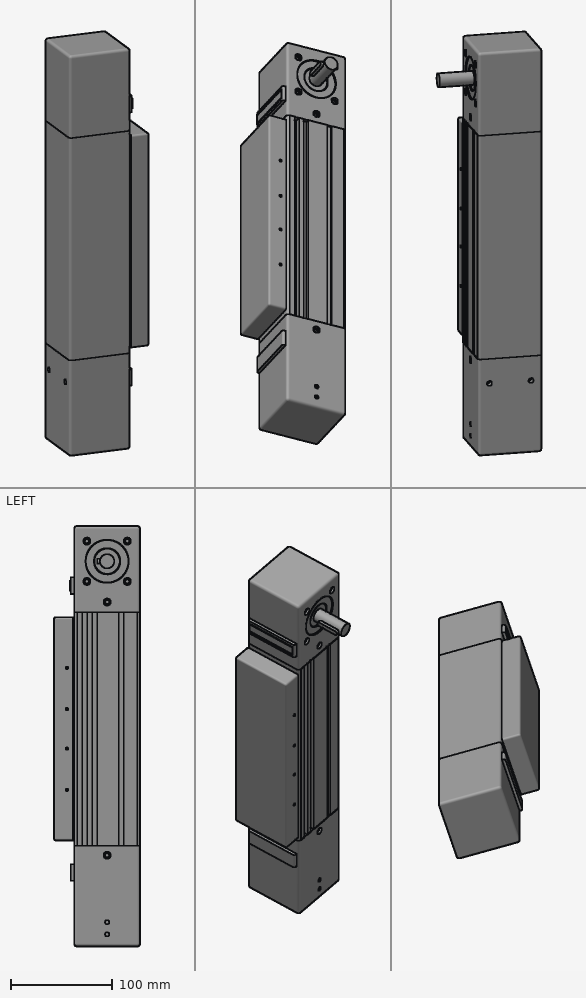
import cadquery as cq
WIDTH = 64.7
DEPTH = 65.0
FACE_X = -WIDTH / 2
FRONT_Y = -DEPTH / 2
BACK_Y = DEPTH / 2
EDGE_RADIUS = 3.0
TOTAL_HEIGHT = 415.0
END_BLOCK_HEIGHT = 99.5
DRIVE_HEAD_HEIGHT = 85.0
HEAD_BASE_Z = TOTAL_HEIGHT - DRIVE_HEAD_HEIGHT
PROFILE_LENGTH = HEAD_BASE_Z - END_BLOCK_HEIGHT
PROFILE_MID_Z = END_BLOCK_HEIGHT + PROFILE_LENGTH / 2

FACE_RAISE = 0.5
GROOVE_WIDTH = 5.0
GROOVES = [(22.0, 6.2), (12.0, 4.0), (-14.0, 2.5)]

CARRIAGE_CLEARANCE = 1.0
CARRIAGE_THICKNESS = 19.0
CARRIAGE_END_GAP = 5.0
CARRIAGE_LENGTH = PROFILE_LENGTH - 2 * CARRIAGE_END_GAP
CARRIAGE_RADIUS = 2.0
CARRIAGE_HOLE_DIAMETER = 2.45
CARRIAGE_HOLE_DEPTH = 4.0
CARRIAGE_HOLE_Y = BACK_Y + 7.0
CARRIAGE_HOLE_OFFSETS = (19.5, 60.0)

SHAFT_Z = TOTAL_HEIGHT - 35.0
SHAFT_DIAMETER = 14.0
SHAFT_PROJECTION = 32.8
KEY_WIDTH = 5.0
KEY_LENGTH = 25.0
KEY_RISE = 3.0
KEY_END_GAP = 3.0

PILOT_DIAMETER = 42.0
PILOT_DEPTH = 1.2
PILOT_CHAMFER = 0.5
BORE_DIAMETER = 25.0
BORE_DEPTH = 1.0
BORE_CHAMFER = 0.62

MOUNT_SPACING = 40.0
MOUNT_DIAMETER = 4.0
MOUNT_COUNTERBORE = 7.0
MOUNT_COUNTERBORE_DEPTH = 3.0
MOUNT_DEPTH = 10.0
HEAD_HOLE_MARGIN = 10.0
END_HOLE_MARGIN = 9.5
SMALL_HOLE_DIAMETER = 4.0
SMALL_HOLE_DEPTH = 2.0
SMALL_HOLE_HEIGHTS = (12.0, 24.0)

SIDE_HOLE_SPACING = 42.5
SIDE_HOLE_Z = END_BLOCK_HEIGHT - 25.5
SIDE_HOLE_DIAMETER = 5.0
SIDE_HOLE_DEPTH = 8.5

PLATE_WIDTH = WIDTH - 2 * EDGE_RADIUS
PLATE_HEIGHT = 16.5
PLATE_THICKNESS = 3.5
PLATE_RADIUS = 2.0
UPPER_PLATE_Z = HEAD_BASE_Z + 26.0
LOWER_PLATE_Z = END_BLOCK_HEIGHT - 26.5
BAND_WIDTH = PLATE_WIDTH - 2 * PLATE_RADIUS
BAND_HEIGHT = 10.0
BAND_RISE = 1.0


def column(base_z, height):
    """Rectangular length of column with rounded vertical edges."""
    block = cq.Workplane("XY", origin=(0, 0, base_z)).rect(WIDTH, DEPTH).extrude(height)
    return block.edges("|Z").fillet(EDGE_RADIUS)


def hole_from_minus_x(y, z, diameter, depth):
    """Cylinder that cuts a blind hole into the -X face."""
    return cq.Workplane("YZ", origin=(FACE_X, y, z)).circle(diameter / 2).extrude(depth)


def mounting_hole(y, z):
    """Counterbored blind hole in the -X face."""
    bore = hole_from_minus_x(y, z, MOUNT_DIAMETER, MOUNT_DEPTH)
    return bore.union(hole_from_minus_x(y, z, MOUNT_COUNTERBORE, MOUNT_COUNTERBORE_DEPTH))


def recess(start_x, diameter, depth, chamfer):
    """Round recess on the shaft axis, opening toward -X with a chamfered rim."""
    outline = [
        (start_x, 0),
        (start_x, diameter / 2 + chamfer),
        (start_x + chamfer, diameter / 2),
        (start_x + depth, diameter / 2),
        (start_x + depth, 0),
    ]
    section = cq.Workplane("XY", origin=(0, 0, SHAFT_Z)).polyline(outline).close()
    return section.revolve(360, (0, 0, 0), (1, 0, 0))


def cover_plate(z):
    """Flat plate on a +Y face, with rounded outer upright edges."""
    plate = cq.Workplane("XY").box(PLATE_WIDTH, PLATE_THICKNESS, PLATE_HEIGHT)
    plate = plate.edges("|Z and >Y").fillet(PLATE_RADIUS)
    return plate.translate((0, BACK_Y + PLATE_THICKNESS / 2, z))


def make_shaft():
    """Keyed output shaft, running out past the -X face from the bottom of the recess."""
    tip_x = FACE_X - SHAFT_PROJECTION
    shaft = cq.Workplane("YZ", origin=(tip_x, 0, SHAFT_Z)).circle(SHAFT_DIAMETER / 2)
    shaft = shaft.extrude(SHAFT_PROJECTION + PILOT_DEPTH + BORE_DEPTH)
    key_x = tip_x + KEY_END_GAP + KEY_LENGTH / 2
    key = cq.Workplane("XZ", origin=(key_x, 0, SHAFT_Z)).slot2D(KEY_LENGTH, KEY_WIDTH)
    return shaft.union(key.extrude(-SHAFT_DIAMETER / 2 - KEY_RISE))


def make_drive_head():
    head = column(HEAD_BASE_Z, DRIVE_HEAD_HEIGHT).faces(">Z").edges().fillet(EDGE_RADIUS)
    head = head.cut(recess(FACE_X, PILOT_DIAMETER, PILOT_DEPTH, PILOT_CHAMFER))
    head = head.cut(recess(FACE_X + PILOT_DEPTH, BORE_DIAMETER, BORE_DEPTH, BORE_CHAMFER))
    for y in (-MOUNT_SPACING / 2, MOUNT_SPACING / 2):
        for z in (SHAFT_Z - MOUNT_SPACING / 2, SHAFT_Z + MOUNT_SPACING / 2):
            head = head.cut(mounting_hole(y, z))
    head = head.cut(mounting_hole(0, HEAD_BASE_Z + HEAD_HOLE_MARGIN))
    band = cq.Workplane("XY").box(BAND_WIDTH, BAND_RISE, BAND_HEIGHT)
    band = band.translate((0, BACK_Y + PLATE_THICKNESS + BAND_RISE / 2, UPPER_PLATE_Z))
    head = head.union(cover_plate(UPPER_PLATE_Z)).union(band)
    return head.union(make_shaft())


def make_profile():
    profile = column(END_BLOCK_HEIGHT, PROFILE_LENGTH)
    raised_face = cq.Workplane("XY").box(FACE_RAISE, DEPTH - 2 * EDGE_RADIUS, PROFILE_LENGTH)
    profile = profile.union(raised_face.translate((FACE_X - FACE_RAISE / 2, 0, PROFILE_MID_Z)))
    for y, depth in GROOVES:
        groove = cq.Workplane("XY").box(depth, GROOVE_WIDTH, PROFILE_LENGTH)
        profile = profile.cut(groove.translate((FACE_X - FACE_RAISE + depth / 2, y, PROFILE_MID_Z)))
    return profile


def make_end_block():
    block = column(0, END_BLOCK_HEIGHT).faces("<Z").edges().fillet(EDGE_RADIUS)
    block = block.cut(mounting_hole(0, END_BLOCK_HEIGHT - END_HOLE_MARGIN))
    for z in SMALL_HOLE_HEIGHTS:
        block = block.cut(hole_from_minus_x(0, z, SMALL_HOLE_DIAMETER, SMALL_HOLE_DEPTH))
    side_face = cq.Workplane("XZ", origin=(0, FRONT_Y, SIDE_HOLE_Z))
    side_holes = side_face.rarray(SIDE_HOLE_SPACING, 4, 2, 1).circle(SIDE_HOLE_DIAMETER / 2)
    block = block.cut(side_holes.extrude(-SIDE_HOLE_DEPTH))
    return block.union(cover_plate(LOWER_PLATE_Z))


def make_carriage():
    carriage = cq.Workplane("XY").box(WIDTH, CARRIAGE_THICKNESS, CARRIAGE_LENGTH)
    carriage = carriage.edges("|Z and >Y").fillet(CARRIAGE_RADIUS)
    carriage = carriage.faces(">Y").edges().fillet(CARRIAGE_RADIUS)
    carriage = carriage.translate((0, BACK_Y + CARRIAGE_CLEARANCE + CARRIAGE_THICKNESS / 2, PROFILE_MID_Z))
    for offset in CARRIAGE_HOLE_OFFSETS:
        for z in (PROFILE_MID_Z - offset, PROFILE_MID_Z + offset):
            hole = hole_from_minus_x(CARRIAGE_HOLE_Y, z, CARRIAGE_HOLE_DIAMETER, CARRIAGE_HOLE_DEPTH)
            carriage = carriage.cut(hole)
    return carriage


drive_head = make_drive_head()
profile = make_profile()
end_block = make_end_block()
carriage = make_carriage()

result = cq.Compound.makeCompound(
    [drive_head.val(), profile.val(), end_block.val(), carriage.val()]
)